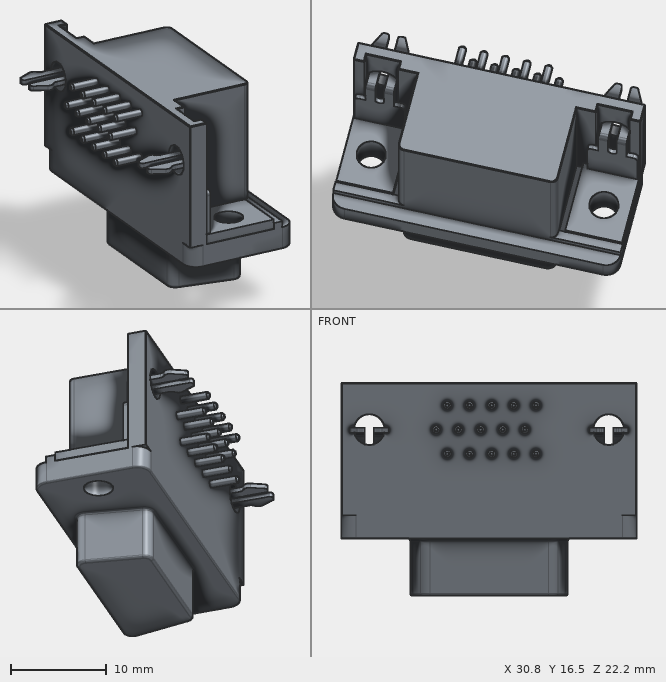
import cadquery as cq
import math


width = 30.8
flange_depth = 12.57
flange_height = 2.45
flange_corner_radius = 1.55
flange_bottom_radius = 0.15

body_top = 16.25
plate_thickness = 2.05
housing_width = 17.05
housing_back = 11.05
housing_corner_radius = 0.68
edge_chamfer = 0.1

ledge_top = 3.15
pad_top = 3.5
pad_back = 10.07
pad_inner_x = 9.25
pad_side_inset = 0.1
mount_x = 12.47
screw_hole_y = 6.28
screw_hole_diameter = 3.05

clip_hole_z = 11.35
clip_hole_diameter = 3.17
notch_x = 12.4
notch_width = 3.63
notch_depth = 0.9

shell_length = 5.95
shell_front = 2.45
shell_back = 10.47
shell_width = 16.45
shell_corner_radius = 1.02
shell_side_angle = math.radians(10)
shell_neck_radius = 0.25
shell_end_radius = 0.28
neck_selection_margin = 0.15

pin_diameter = 0.8
pin_length = 3.15
pin_tip_chamfer = 0.22
pin_pitch = 2.3
pins_per_row = 5
pin_row_pitch = 2.53
middle_row_z = 11.35
outer_row_x = 0.28
row_stagger = pin_pitch / 2

clip_thickness = 0.52
clip_top = 11.58
clip_foot_width = 5.35
clip_foot_corner_radius = 0.5
clip_shoulder_z = 8.35
clip_inner_bend_radius = 0.45
clip_slot_width = 0.92
prong_half_width = 1.5
prong_length = 3.9
prong_neck_length = 1.3
barb_corner_x = 2.15
barb_corner_y = -1.95
barb_tip_x = 1.2
barb_radius = 0.68
prong_neck_radius = 0.6
prong_tip_radius = 0.3


def block(x_min, x_max, y_min, y_max, z_min, z_max):
    """Box between two opposite corners."""
    size = (x_max - x_min, y_max - y_min, z_max - z_min)
    return cq.Workplane("XY").box(*size, centered=False).translate((x_min, y_min, z_min))


def make_flange_and_shell():
    flange = block(-width / 2, width / 2, 0, flange_depth, 0, flange_height)
    flange = flange.edges("|Z").fillet(flange_corner_radius)
    flange = flange.faces("<Z").edges().fillet(flange_bottom_radius)

    arc_centre_x = shell_width / 2 - shell_corner_radius
    back_half_width = arc_centre_x + shell_corner_radius * (
        1 / math.cos(shell_side_angle) + math.tan(shell_side_angle)
    )
    taper = (shell_back - shell_front) * math.tan(shell_side_angle)
    front_half_width = back_half_width - taper
    shell = (
        cq.Workplane("XY")
        .polyline(
            [
                (-front_half_width, shell_front),
                (front_half_width, shell_front),
                (back_half_width, shell_back),
                (-back_half_width, shell_back),
            ]
        )
        .close()
        .extrude(-shell_length)
        .edges("|Z")
        .fillet(shell_corner_radius)
        .faces("<Z")
        .edges()
        .fillet(shell_end_radius)
    )
    joined = flange.union(shell)
    neck_half_width = shell_width / 2 + neck_selection_margin
    neck = cq.selectors.BoxSelector(
        (-neck_half_width, shell_front - neck_selection_margin, -neck_selection_margin / 2),
        (neck_half_width, shell_back + neck_selection_margin, neck_selection_margin / 2),
    )
    return joined.edges(neck).fillet(shell_neck_radius)


def make_plate_and_housing():
    plate = block(-width / 2, width / 2, 0, plate_thickness, flange_height, body_top)
    plate = plate.edges("|Z").chamfer(edge_chamfer)
    housing = block(-housing_width / 2, housing_width / 2, 0, housing_back, flange_height, body_top)
    housing = housing.edges("|Z and >Y").fillet(housing_corner_radius)
    body = plate.union(housing)

    for side in (-1, 1):
        notch_centre = side * notch_x
        notch = block(
            notch_centre - notch_width / 2,
            notch_centre + notch_width / 2,
            plate_thickness - notch_depth,
            plate_thickness,
            pad_top,
            body_top,
        )
        body = body.cut(notch)
    body = body.faces(">Z").edges().chamfer(edge_chamfer)

    clip_holes = (
        cq.Workplane("XZ")
        .pushPoints([(-mount_x, clip_hole_z), (mount_x, clip_hole_z)])
        .circle(clip_hole_diameter / 2)
        .extrude(-plate_thickness)
    )
    return body.cut(clip_holes)


def make_side_steps():
    """Ledge along the back, with the raised screw pads standing clear of the housing."""
    steps = block(-width / 2, width / 2, pad_back, housing_back, flange_height, ledge_top)
    pad_outer_x = width / 2 - pad_side_inset
    for x_min, x_max in ((-pad_outer_x, -pad_inner_x), (pad_inner_x, pad_outer_x)):
        steps = steps.union(block(x_min, x_max, plate_thickness / 2, pad_back, flange_height, pad_top))
    return steps


def make_screw_holes():
    return (
        cq.Workplane("XY")
        .pushPoints([(-mount_x, screw_hole_y), (mount_x, screw_hole_y)])
        .circle(screw_hole_diameter / 2)
        .extrude(pad_top)
    )


def make_pin(x, z):
    """Round pin starting inside the plate and ending in a chamfered tip."""
    return (
        cq.Workplane("XZ", origin=(x, plate_thickness / 2, z))
        .circle(pin_diameter / 2)
        .extrude(pin_length + plate_thickness / 2)
        .faces("<Y")
        .chamfer(pin_tip_chamfer)
    )


def make_pins():
    pins = cq.Workplane("XY")
    for row in (-1, 0, 1):
        row_x = outer_row_x - (row_stagger if row == 0 else 0)
        row_z = middle_row_z + row * pin_row_pitch
        for column in range(pins_per_row):
            x = row_x + (column - (pins_per_row - 1) / 2) * pin_pitch
            pins = pins.union(make_pin(x, row_z))
    return pins


def make_clip():
    """L-shaped sheet clip: a foot on the back of the plate and two barbed prongs."""
    clip_back = plate_thickness + clip_thickness
    prong_underside = clip_top - clip_thickness
    foot_half = clip_foot_width / 2

    horizontal_leg = block(-foot_half, foot_half, -prong_length, clip_back, prong_underside, clip_top)
    vertical_leg = block(-foot_half, foot_half, plate_thickness, clip_back, pad_top, clip_top)
    sheet = horizontal_leg.union(vertical_leg)
    sheet = sheet.edges("|X and >Y and >Z").fillet(clip_thickness)
    inner_bend = cq.selectors.NearestToPointSelector((0, plate_thickness, prong_underside))
    sheet = sheet.edges("|X").edges(inner_bend).fillet(clip_inner_bend_radius)

    foot = block(-foot_half, foot_half, plate_thickness, clip_back, pad_top, clip_shoulder_z)
    foot = foot.edges("|Y and >Z").fillet(clip_foot_corner_radius)

    mid_z = (clip_shoulder_z + clip_top) / 2
    slot_half = clip_slot_width / 2
    prong = (
        cq.Workplane("XY", origin=(0, 0, clip_shoulder_z))
        .polyline(
            [
                (slot_half, clip_back),
                (prong_half_width, clip_back),
                (prong_half_width, -prong_neck_length),
                (barb_corner_x, barb_corner_y),
                (barb_tip_x, -prong_length),
                (slot_half, -prong_length),
            ]
        )
        .close()
        .extrude(clip_top - clip_shoulder_z)
        .edges("|Z and <Y")
        .fillet(prong_tip_radius)
    )
    barb_corner = cq.selectors.NearestToPointSelector((barb_corner_x, barb_corner_y, mid_z))
    neck_corner = cq.selectors.NearestToPointSelector((prong_half_width, -prong_neck_length, mid_z))
    prong = prong.edges("|Z").edges(barb_corner).fillet(barb_radius)
    prong = prong.edges("|Z").edges(neck_corner).fillet(prong_neck_radius)

    slot_centre_z = clip_shoulder_z + slot_half
    slot_round = (
        cq.Workplane("XZ", origin=(0, plate_thickness, slot_centre_z))
        .circle(slot_half)
        .extrude(-clip_thickness)
    )
    slot_bottom = block(-slot_half, slot_half, plate_thickness, clip_back, clip_shoulder_z, slot_centre_z)
    slot_bottom = slot_bottom.cut(slot_round)

    outline = foot.union(prong).union(prong.mirror("YZ")).union(slot_bottom)
    return sheet.intersect(outline)


clip = make_clip()
result = (
    make_flange_and_shell()
    .union(make_plate_and_housing())
    .union(make_side_steps())
    .cut(make_screw_holes())
    .union(make_pins())
    .union(clip.translate((-mount_x, 0, 0)))
    .union(clip.translate((mount_x, 0, 0)))
)